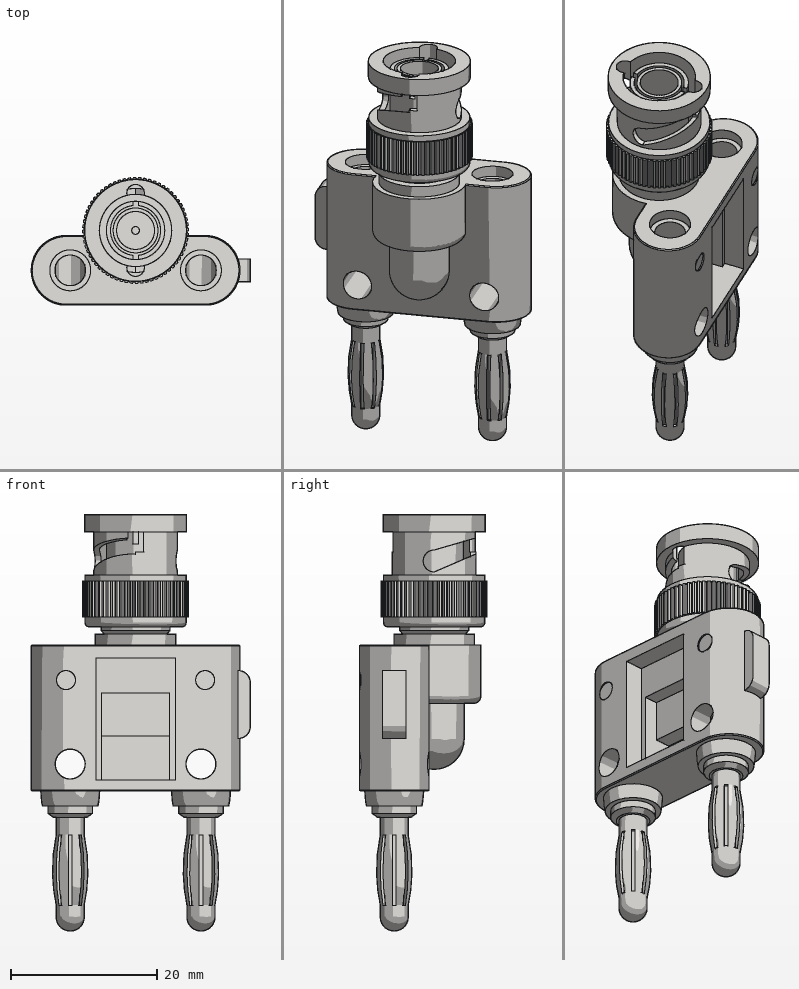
import cadquery as cq
import math


block_height = 20.0
block_end_pitch = 19.05
block_radius = 4.775
block_edge = 0.15
front_y = -block_radius

plug_pitch = 17.9
socket_radius = 2.1
counterbore_radius = 2.8
counterbore_depth = 1.5
counterbore_bottom = block_height - counterbore_depth
cross_hole_radius = 2.03
cross_hole_z = 3.7
dimple_radius = 1.3
dimple_depth = 0.2
dimple_z = 15.2

window_bottom = 1.55
window_top = 18.2
window_width = 10.9
window_depth = 2.85
pocket_top = 13.4
pocket_width = 9.35
pocket_depth = 5.0
cavity_top = 7.55
cavity_depth = 7.4

tab_tip_x = 15.72
tab_bottom = 7.2
tab_top = 16.5
tab_thickness = 3.15
tab_corner = 1.65

collar_top_radius = 4.05
collar_mid_radius = 3.99
collar_end_radius = 3.82
collar_end = 2.05
step_radius = 3.06
step_end = 3.05
taper_end_radius = 2.3
taper_end = 3.6
shank_radius = 1.94
spring_start = 6.0
spring_end = 15.64
spring_radius = 2.45
plug_length = 19.17
slit_count = 8
slit_width = 0.5
slit_core_radius = 1.55

bnc_y = 5.465
boss_radius = 6.4
boss_bottom = 12.0
boss_fillet = 1.0
elbow_radius = 4.12
elbow_bend_z = 7.08

neck_radius = 5.53
neck_top = 21.5
ring_radius = 4.74
ring_foot_radius = 4.3
ring_chamfer_top = 22.0
tube_radius = 4.0
tube_top = 36.75
tube_slit_width = 0.77
tube_slit_bottom = 33.8
gap_outer_radius = 3.43
gap_inner_radius = 3.07
gap_bottom = tube_slit_bottom
bore_radius = 2.6
bore_bottom = 29.0
contact_radius = 0.53
contact_top = 34.0

nut_bottom = 22.47
nut_top = 37.85
nut_floor = 25.0
nut_bore_radius = 4.95
grip_radius = 6.94
grip_top = 29.55
grip_fillet = 0.6
knurl_bottom = 23.85
knurl_top = 28.73
knurl_radius = 7.25
knurl_count = 64
knurl_land_share = 0.4
barrel_radius = 5.75
flange_radius = 7.0
flange_bottom = 35.5
notch_radius = 1.21
notch_offset = 5.08
notch_bottom = 32.75
latch_z = 31.5
latch_radius = 1.5
ramp_lower_slope = 0.43
ramp_upper_slope = 0.29


def cylinder(radius, bottom, top, x=0, y=0):
    """Upright cylinder between two heights."""
    return cq.Workplane("XY", origin=(x, y, bottom)).circle(radius).extrude(top - bottom)


def tube(outer, inner, bottom, top, y=0):
    return cylinder(outer, bottom, top, y=y).cut(cylinder(inner, bottom, top, y=y))


def front_cylinder(radius, x, z, depth):
    """Cylinder bored into the block from its front face."""
    return cq.Workplane("XZ", origin=(x, front_y, z)).circle(radius).extrude(-depth)


def front_pocket(width, bottom, top, depth):
    """Rectangular pocket sunk from the front face."""
    pocket = cq.Workplane("XY").box(width, depth, top - bottom, centered=(True, False, False))
    return pocket.translate((0, front_y, bottom))


def plug():
    """Banana plug on the Z axis, hanging from Z = 0, with slits between its spring leaves."""
    spring_middle = (spring_start + spring_end) / 2
    tip_start = plug_length - shank_radius
    tip_mid = shank_radius * math.sqrt(0.5)
    body = (
        cq.Workplane("XZ")
        .lineTo(collar_top_radius, 0)
        .threePointArc((collar_mid_radius, -collar_end / 2), (collar_end_radius, -collar_end))
        .lineTo(step_radius, -collar_end)
        .lineTo(step_radius, -step_end)
        .lineTo(taper_end_radius, -taper_end)
        .lineTo(shank_radius, -taper_end)
        .lineTo(shank_radius, -spring_start)
        .threePointArc((spring_radius, -spring_middle), (shank_radius, -spring_end))
        .lineTo(shank_radius, -tip_start)
        .threePointArc((tip_mid, -tip_start - tip_mid), (0, -plug_length))
        .close()
        .revolve(360, (0, 0, 0), (0, 1, 0))
    )
    slit = (
        cq.Workplane("XY")
        .box(spring_radius, slit_width, spring_end - spring_start, centered=(False, True, False))
        .translate((slit_core_radius, 0, -spring_end))
    )
    for i in range(slit_count):
        body = body.cut(slit.rotate((0, 0, 0), (0, 0, 1), i * 360 / slit_count))
    return body


def polarity_tab():
    tab = cq.Workplane("XY").box(
        tab_tip_x - block_end_pitch / 2, tab_thickness, tab_top - tab_bottom, centered=(False, True, False)
    )
    return tab.edges("|Y and >X").fillet(tab_corner).translate((block_end_pitch / 2, 0, tab_bottom))


def elbow():
    """Stepped housing on the BNC axis, ending in a ball at its foot."""
    boss = cylinder(boss_radius, boss_bottom, block_height, y=bnc_y).faces("<Z").edges().fillet(boss_fillet)
    stem = cylinder(elbow_radius, elbow_bend_z, boss_bottom + boss_fillet, y=bnc_y)
    ball = cq.Workplane("XY").sphere(elbow_radius).translate((0, bnc_y, elbow_bend_z))
    return boss.union(stem).union(ball)


def bnc_core():
    """Fixed part of the BNC: neck, support ring and contact tubes."""
    core = (
        cq.Workplane("XZ")
        .moveTo(0, block_height)
        .lineTo(neck_radius, block_height)
        .lineTo(neck_radius, neck_top)
        .lineTo(ring_foot_radius, neck_top)
        .lineTo(ring_radius, ring_chamfer_top)
        .lineTo(ring_radius, nut_bottom)
        .lineTo(tube_radius, nut_bottom)
        .lineTo(tube_radius, tube_top)
        .lineTo(0, tube_top)
        .close()
        .revolve(360, (0, 0, 0), (0, 1, 0))
        .translate((0, bnc_y, 0))
    )
    core = core.cut(tube(gap_outer_radius, gap_inner_radius, gap_bottom, tube_top, y=bnc_y))
    slit_bar = (
        cq.Workplane("XY", origin=(0, bnc_y, tube_slit_bottom))
        .rect(tube_slit_width, 2 * tube_radius)
        .extrude(tube_top - tube_slit_bottom)
    )
    core = core.cut(slit_bar.cut(cylinder(gap_inner_radius, tube_slit_bottom, tube_top, y=bnc_y)))
    core = core.cut(cylinder(bore_radius, bore_bottom, tube_top, y=bnc_y))
    return core.union(cylinder(contact_radius, bore_bottom, contact_top, y=bnc_y))


def make_housing():
    """Block, elbow, BNC core, tab and the two banana plugs, all one solid."""
    body = (
        cq.Workplane("XY")
        .slot2D(block_end_pitch + 2 * block_radius, 2 * block_radius)
        .extrude(block_height)
        .faces("<Z or >Z")
        .edges()
        .chamfer(block_edge)
    )
    body = body.union(polarity_tab()).union(elbow()).union(bnc_core())

    body = body.cut(front_pocket(window_width, window_bottom, window_top, window_depth))
    body = body.cut(front_pocket(pocket_width, window_bottom, pocket_top, pocket_depth))
    body = body.cut(front_pocket(pocket_width, window_bottom, cavity_top, cavity_depth))

    for side in (-1, 1):
        plug_x = side * plug_pitch / 2
        dimple_x = side * block_end_pitch / 2
        body = body.union(plug().translate((plug_x, 0, 0)))
        body = body.cut(cylinder(counterbore_radius, counterbore_bottom, block_height, x=plug_x))
        body = body.cut(cylinder(socket_radius, cross_hole_z, block_height, x=plug_x))
        body = body.cut(front_cylinder(cross_hole_radius, plug_x, cross_hole_z, 2 * block_radius))
        body = body.cut(front_cylinder(dimple_radius, dimple_x, dimple_z, dimple_depth))
    return body


def knurl_band():
    """Straight knurl: flat-topped ridges parted by V grooves down to the grip radius."""
    pitch = 2 * math.pi / knurl_count
    land = pitch * knurl_land_share
    ridge = [(0, knurl_radius), (land, knurl_radius), ((land + pitch) / 2, grip_radius)]
    points = []
    for i in range(knurl_count):
        for offset, radius in ridge:
            angle = i * pitch + offset
            points.append((radius * math.cos(angle), radius * math.sin(angle)))
    band = cq.Workplane("XY", origin=(0, 0, knurl_bottom)).polyline(points).close()
    return band.extrude(knurl_top - knurl_bottom)


def bayonet_track():
    """Entry notch on the -Y side, with a ramp that runs down to the rounded latch end on the -X side."""
    notch = cylinder(notch_radius, notch_bottom, nut_top, y=-notch_offset)
    reach = flange_radius
    track = (
        cq.Workplane("YZ")
        .moveTo(-reach, latch_z - latch_radius + ramp_lower_slope * reach)
        .lineTo(0, latch_z - latch_radius)
        .threePointArc((latch_radius, latch_z), (0, latch_z + latch_radius))
        .lineTo(-reach, latch_z + latch_radius + ramp_upper_slope * reach)
        .close()
        .extrude(-reach)
    )
    return notch.union(track)


def make_coupling_nut():
    """Rotating bayonet nut around the contact tubes, resting on the support ring."""
    nut = cylinder(grip_radius, nut_bottom, grip_top).faces("<Z").edges().fillet(grip_fillet)
    nut = nut.union(knurl_band())
    nut = nut.union(cylinder(barrel_radius, nut_floor, nut_top))
    nut = nut.union(cylinder(flange_radius, flange_bottom, nut_top))
    nut = nut.cut(cylinder(nut_bore_radius, nut_floor, nut_top))
    nut = nut.cut(cylinder(tube_radius, nut_bottom, nut_floor))
    for turn in (0, 180):
        nut = nut.cut(bayonet_track().rotate((0, 0, 0), (0, 0, 1), turn))
    return nut.translate((0, bnc_y, 0))


housing = make_housing()
coupling_nut = make_coupling_nut()

result = cq.Compound.makeCompound([housing.val(), coupling_nut.val()])